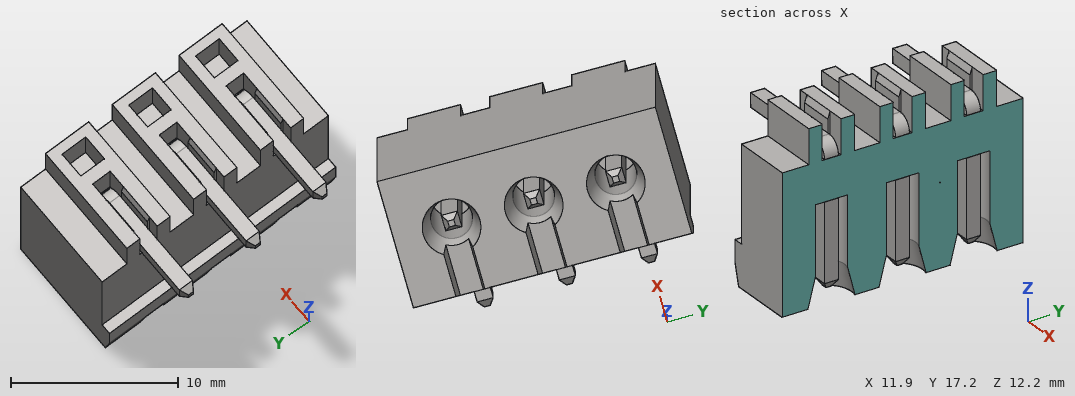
import cadquery as cq


length = 17.24
height = 12.2
depth = 7.81
step_height = 9.78
hook_reach = 0.7
hook_top = 3.02
hook_slope_top = 1.48
hook_slope_run = 0.4

pitch = 5.09
positions = (-pitch, 0.0, pitch)
rib_width = 3.3
rib_z = (step_height, height)

pin_size = 1.0
pin_front = -4.09
leg_back = 4.4
leg_x = leg_back - pin_size / 2
pin_tip_length = 0.5
pin_tip_size = 0.38
pin_bottom = 0.9
pin_top = step_height + pin_size

slot_width = 1.33
slot_end = 4.52
grip_start = 0.74
grip_end = 3.24
grip_lead_in = 0.5

test_hole_size = 1.8
test_hole_x = 6.25

socket_diameter = 2.5
socket_depth = 6.9
socket_mouth_diameter = 3.5
socket_mouth_depth = 2.0

notch_height = 1.19
notch_top_width = 1.41
notch_bottom_width = 1.8


def box(x_range, width, z_range, y=0.0):
    """Box spanning x_range and z_range, centred on y."""
    size_x = x_range[1] - x_range[0]
    size_z = z_range[1] - z_range[0]
    corner = (x_range[0], y - width / 2, z_range[0])
    return cq.Workplane("XY").box(size_x, width, size_z, centered=False).translate(corner)


def make_block():
    """Housing below the ribs, with the sloped hook along its front."""
    outline = [
        (0, step_height),
        (0, hook_top),
        (-hook_reach, hook_top),
        (-hook_reach, hook_slope_top),
        (-hook_reach + hook_slope_run, 0),
        (depth, 0),
        (depth, step_height),
    ]
    return cq.Workplane("XZ").polyline(outline).close().extrude(length / 2, both=True)


def make_rib(y):
    """Raised rib with its pin slot and test hole."""
    rib = box((0, depth), rib_width, rib_z, y)
    slot = box((0, slot_end), slot_width, rib_z, y)
    test_hole_x_range = (test_hole_x - test_hole_size / 2, test_hole_x + test_hole_size / 2)
    test_hole = box(test_hole_x_range, test_hole_size, rib_z, y)
    return rib.cut(slot).cut(test_hole)


def make_grips(y):
    """Pads on both slot walls that grip the pin, with a sloped lead-in at the top."""
    pad = (
        cq.Workplane("YZ", origin=(grip_start, 0, 0))
        .moveTo(slot_width / 2, step_height)
        .lineTo(pin_size / 2, step_height)
        .lineTo(pin_size / 2, height - grip_lead_in)
        .lineTo(slot_width / 2, height)
        .close()
        .extrude(grip_end - grip_start)
    )
    return pad.union(pad.mirror("XZ")).translate((0, y, 0))


def make_socket(y):
    """Round socket with its conical mouth and the notch leading into it from the front."""
    bore = cq.Workplane("XY").circle(socket_diameter / 2).extrude(socket_depth)
    mouth = cq.Workplane(
        cq.Solid.makeCone(socket_mouth_diameter / 2, socket_diameter / 2, socket_mouth_depth)
    )
    notch = (
        cq.Workplane("YZ", origin=(-hook_reach, 0, 0))
        .moveTo(-notch_bottom_width / 2, 0)
        .lineTo(notch_bottom_width / 2, 0)
        .lineTo(notch_top_width / 2, notch_height)
        .lineTo(-notch_top_width / 2, notch_height)
        .close()
        .extrude(hook_reach + leg_x)
        .translate((0, y, 0))
    )
    return bore.union(mouth).translate((leg_x, y, 0)).union(notch)


def make_tip():
    """Pyramid end of a pin, growing along +Z from a full-size base."""
    base = cq.Workplane("XY").rect(pin_size, pin_size)
    return base.workplane(offset=pin_tip_length).rect(pin_tip_size, pin_tip_size).loft()


def make_pin(y):
    """Square pin bent down at a right angle, with a pyramid at each end."""
    arm_start = pin_front + pin_tip_length
    leg_start = pin_bottom + pin_tip_length
    bend_x = leg_back - pin_size
    shank = (
        cq.Workplane("XZ")
        .moveTo(arm_start, step_height)
        .lineTo(arm_start, pin_top)
        .lineTo(bend_x, pin_top)
        .radiusArc((leg_back, step_height), pin_size)
        .lineTo(leg_back, leg_start)
        .lineTo(bend_x, leg_start)
        .lineTo(bend_x, step_height)
        .close()
        .extrude(pin_size / 2, both=True)
    )
    arm_axis_z = step_height + pin_size / 2
    arm_tip = make_tip().rotate((0, 0, 0), (0, 1, 0), -90).translate((arm_start, 0, arm_axis_z))
    leg_tip = make_tip().rotate((0, 0, 0), (0, 1, 0), 180).translate((leg_x, 0, leg_start))
    return shank.union(arm_tip).union(leg_tip).translate((0, y, 0))


header = make_block()
for position in positions:
    header = header.union(make_rib(position)).union(make_grips(position))
    header = header.cut(make_socket(position)).union(make_pin(position))

result = header.solids()